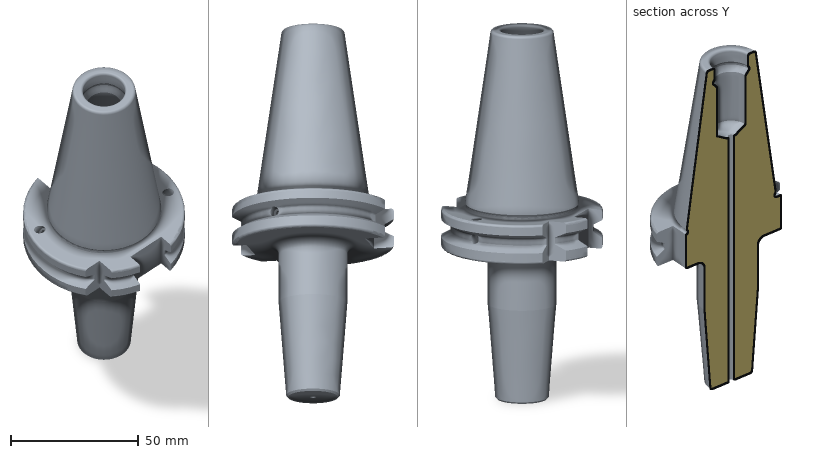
import cadquery as cq
import math

TOTAL_LENGTH = 148.4
FLANGE_BOTTOM_Z = 61.0
FLANGE_TOP_Z = 76.7
TAPER_BOTTOM_Z = 78.8
NOSE_CONE_TOP_Z = 38.3

TAPER_LARGE_RADIUS = 22.4
TAPER_RADIUS_PER_HEIGHT = 7 / 48
TAPER_SMALL_RADIUS = TAPER_LARGE_RADIUS - TAPER_RADIUS_PER_HEIGHT * (TOTAL_LENGTH - TAPER_BOTTOM_Z)
TAPER_END_FILLET = 1.2

RELIEF_RADIUS = 21.8
RELIEF_TOP_SLOPE_HEIGHT = 0.7
RELIEF_FILLET = 0.9

FLANGE_RADIUS = 31.8
FLANGE_EDGE_FILLET = 1.0
GROOVE_CENTRE_Z = 69.0
GROOVE_FLOOR_RADIUS = 28.0
GROOVE_FLOOR_HALF_WIDTH = 1.41
GROOVE_FLANK_ANGLE = 30.0
GROOVE_CORNER_FILLET = 0.6
GROOVE_MOUTH_HALF_WIDTH = GROOVE_FLOOR_HALF_WIDTH + (FLANGE_RADIUS - GROOVE_FLOOR_RADIUS) * math.tan(
    math.radians(GROOVE_FLANK_ANGLE)
)

BODY_RADIUS = 13.5
BODY_FILLET = 3.1
NOSE_TIP_RADIUS = 10.5
NOSE_TIP_CHAMFER = 0.7

SLOT_WIDTH = 16.0
LEFT_SLOT_FLOOR_X = -22.7
RIGHT_SLOT_FLOOR_X = 25.0
NOTCH_CORNER = 18.5

BORE_RADIUS = 8.3
BORE_MOUTH_FILLET = 1.0
BORE_DEPTH = 5.6
UNDERCUT_RADIUS = 8.9
UNDERCUT_TOP_DEPTH = 6.5
UNDERCUT_BOTTOM_DEPTH = 7.3
THREAD_CORE_RADIUS = 7.0
THREAD_CORE_TOP_DEPTH = 9.5
THREAD_CORE_BOTTOM_DEPTH = 32.0
DRILL_TIP_ANGLE = 118.0
BORE_FLOOR_RADIUS = 2.1
COOLANT_RADIUS = 1.2

SCREW_RADIUS = 2.0
SCREW_RECESS = 2.5
SCREW_OVERCUT = 2.2
SOCKET_ACROSS_CORNERS = 2.0
SOCKET_SIDES = 6
SOCKET_DEPTH = 1.2
FACE_SCREW_CIRCLE_RADIUS = 27.0
FACE_SCREW_TILT = 33.0
SCREW_ANGLES = (70.0, 250.0)


def revolved_body():
    """Taper, relief, grooved flange and nose as one turned profile."""
    mouth_top_z = GROOVE_CENTRE_Z + GROOVE_MOUTH_HALF_WIDTH
    mouth_bottom_z = GROOVE_CENTRE_Z - GROOVE_MOUTH_HALF_WIDTH
    floor_top_z = GROOVE_CENTRE_Z + GROOVE_FLOOR_HALF_WIDTH
    floor_bottom_z = GROOVE_CENTRE_Z - GROOVE_FLOOR_HALF_WIDTH
    rim_radius = FLANGE_RADIUS - FLANGE_EDGE_FILLET
    profile = (
        cq.Workplane("XZ")
        .moveTo(0, 0)
        .lineTo(NOSE_TIP_RADIUS - NOSE_TIP_CHAMFER, 0)
        .lineTo(NOSE_TIP_RADIUS, NOSE_TIP_CHAMFER)
        .lineTo(BODY_RADIUS, NOSE_CONE_TOP_Z)
        .lineTo(BODY_RADIUS, FLANGE_BOTTOM_Z - BODY_FILLET)
        .radiusArc((BODY_RADIUS + BODY_FILLET, FLANGE_BOTTOM_Z), BODY_FILLET)
        .lineTo(rim_radius, FLANGE_BOTTOM_Z)
        .radiusArc((FLANGE_RADIUS, FLANGE_BOTTOM_Z + FLANGE_EDGE_FILLET), -FLANGE_EDGE_FILLET)
        .lineTo(FLANGE_RADIUS, mouth_bottom_z)
        .lineTo(GROOVE_FLOOR_RADIUS, floor_bottom_z)
        .lineTo(GROOVE_FLOOR_RADIUS, floor_top_z)
        .lineTo(FLANGE_RADIUS, mouth_top_z)
        .lineTo(FLANGE_RADIUS, FLANGE_TOP_Z - FLANGE_EDGE_FILLET)
        .radiusArc((rim_radius, FLANGE_TOP_Z), -FLANGE_EDGE_FILLET)
        .lineTo(RELIEF_RADIUS + RELIEF_FILLET, FLANGE_TOP_Z)
        .radiusArc((RELIEF_RADIUS, FLANGE_TOP_Z + RELIEF_FILLET), RELIEF_FILLET)
        .lineTo(RELIEF_RADIUS, TAPER_BOTTOM_Z - RELIEF_TOP_SLOPE_HEIGHT)
        .lineTo(TAPER_LARGE_RADIUS, TAPER_BOTTOM_Z)
        .lineTo(TAPER_SMALL_RADIUS, TOTAL_LENGTH)
        .lineTo(0, TOTAL_LENGTH)
        .close()
    )
    body = profile.revolve(360, (0, 0, 0), (0, 1, 0))
    for corner_z in (floor_bottom_z, floor_top_z):
        corner = cq.selectors.NearestToPointSelector((0, 0, corner_z))
        body = body.edges(corner).fillet(GROOVE_CORNER_FILLET)
    return body.faces(">Z").edges().fillet(TAPER_END_FILLET)


def pull_stud_bore():
    """Counterbore, undercut, thread core and drill-tip floor, with the coolant hole right through."""
    tip_height = (THREAD_CORE_RADIUS - BORE_FLOOR_RADIUS) / math.tan(math.radians(DRILL_TIP_ANGLE / 2))
    floor_z = TOTAL_LENGTH - THREAD_CORE_BOTTOM_DEPTH - tip_height
    profile = (
        cq.Workplane("XZ")
        .moveTo(0, 0)
        .lineTo(COOLANT_RADIUS, 0)
        .lineTo(COOLANT_RADIUS, floor_z)
        .lineTo(BORE_FLOOR_RADIUS, floor_z)
        .lineTo(THREAD_CORE_RADIUS, TOTAL_LENGTH - THREAD_CORE_BOTTOM_DEPTH)
        .lineTo(THREAD_CORE_RADIUS, TOTAL_LENGTH - THREAD_CORE_TOP_DEPTH)
        .lineTo(UNDERCUT_RADIUS, TOTAL_LENGTH - UNDERCUT_BOTTOM_DEPTH)
        .lineTo(UNDERCUT_RADIUS, TOTAL_LENGTH - UNDERCUT_TOP_DEPTH)
        .lineTo(BORE_RADIUS, TOTAL_LENGTH - BORE_DEPTH)
        .lineTo(BORE_RADIUS, TOTAL_LENGTH - BORE_MOUTH_FILLET)
        .radiusArc((BORE_RADIUS + BORE_MOUTH_FILLET, TOTAL_LENGTH), BORE_MOUTH_FILLET)
        .lineTo(0, TOTAL_LENGTH)
        .close()
    )
    return profile.revolve(360, (0, 0, 0), (0, 1, 0))


def flange_cutter(x_min, x_max, y_min, y_max):
    """Box over the full flange thickness with the given plan extents."""
    return cq.Workplane("XY", origin=(0, 0, FLANGE_BOTTOM_Z)).box(
        x_max - x_min, y_max - y_min, FLANGE_TOP_Z - FLANGE_BOTTOM_Z, centered=False
    ).translate((x_min, y_min, 0))


def screw_recess(origin, outward):
    """Round recess down to a set screw face, plus the hexagon socket in that face."""
    mouth = cq.Plane(origin=origin, normal=outward)
    recess = (
        cq.Workplane(mouth)
        .workplane(offset=-SCREW_RECESS)
        .circle(SCREW_RADIUS)
        .extrude(SCREW_RECESS + SCREW_OVERCUT)
    )
    socket = (
        cq.Workplane(mouth)
        .workplane(offset=-SCREW_RECESS - SOCKET_DEPTH)
        .polygon(SOCKET_SIDES, SOCKET_ACROSS_CORNERS)
        .extrude(SOCKET_DEPTH)
    )
    return recess.union(socket)


result = revolved_body().cut(pull_stud_bore())

half_slot = SLOT_WIDTH / 2
result = result.cut(flange_cutter(-FLANGE_RADIUS, LEFT_SLOT_FLOOR_X, -half_slot, half_slot))
result = result.cut(flange_cutter(RIGHT_SLOT_FLOOR_X, FLANGE_RADIUS, -half_slot, half_slot))

result = result.cut(flange_cutter(NOTCH_CORNER, FLANGE_RADIUS, -FLANGE_RADIUS, -NOTCH_CORNER))

for angle in SCREW_ANGLES:
    x_dir = math.cos(math.radians(angle))
    y_dir = math.sin(math.radians(angle))
    tilt = math.radians(FACE_SCREW_TILT)
    face_point = (FACE_SCREW_CIRCLE_RADIUS * x_dir, FACE_SCREW_CIRCLE_RADIUS * y_dir, FLANGE_TOP_Z)
    face_axis = (math.sin(tilt) * x_dir, math.sin(tilt) * y_dir, math.cos(tilt))
    groove_point = (GROOVE_FLOOR_RADIUS * x_dir, GROOVE_FLOOR_RADIUS * y_dir, GROOVE_CENTRE_Z)
    result = result.cut(screw_recess(face_point, face_axis))
    result = result.cut(screw_recess(groove_point, (x_dir, y_dir, 0)))